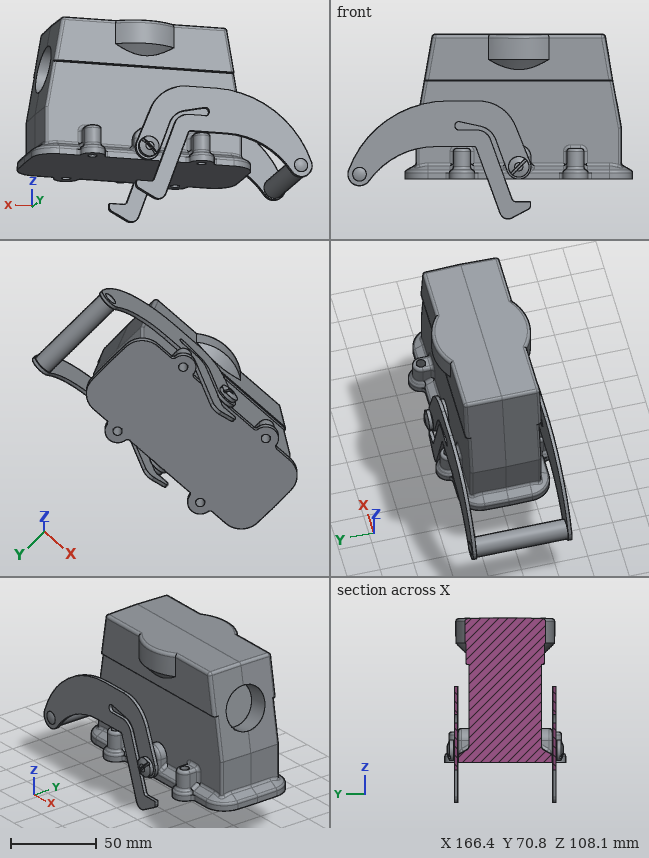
import cadquery as cq
import math


hood_top = 84.7
hood_foot_half = 60.1
hood_top_half = 50.5
lean_start = 29.8
draft = 1.0
lower_half_width = 21.3
upper_half_width = 23.0
ledge_height = 57.3
bulge_radius = 29.0
bulge_bottom = 70.0
edge_round = 2.0
corner_round = 1.5
ledge_chamfer = 0.5
cable_hole_diameter = 28.3
cable_hole_depth = 13.3

flange_half_length = 66.6
flange_half_width = 27.5
flange_corner_radius = 13.3
flange_edge = 4.7
flange_slope = 30.0
flange_rise = 4.0
overall_width = 70.8
lug_x = 33.1
lug_y = 28.0
lug_radius = overall_width / 2 - lug_y
lug_rise = 1.7
neck_height = 3.5
tower_radius = 5.0
tower_height = 18.0
screw_hole_diameter = 5.3

pivot_z = 7.2
eye_radius = 7.2
pad_center_z = 12.8
stud_diameter = 8.0
head_diameter = 12.0
head_tip_diameter = 4.8
head_gap = 0.5
head_rim = 2.3
head_cone = 1.3
driver_slot_width = 1.5
driver_slot_depth = 2.0
driver_slot_angle = 45.0

plate_inner_y = 27.6
plate_thickness = 2.2
rod_x = -93.0
rod_z = 2.8
rod_diameter = 12.0
rod_end_radius = 6.8
rivet_diameter = 8.0
rivet_height = 1.0
plate_top = 45.6
plate_bottom = 19.0
top_curve_x = -41.6
bottom_curve_x = -48.3
front_tilt = 22.0
arm_tilt = 20.0
front_bend_radius = 23.3
arm_edge_round = 1.3
slot_end_x = -37.3
slot_bottom = 28.6
slot_end_top = 34.1
slot_bend_z = 29.5
slot_end_round = 2.3
slot_upper_bend = 12.5
slot_lower_bend = 8.5
hook_throat = (-3.3, -13.2)
hook_throat_round = 2.3
hook_heel = (-9.0, -25.5)
hook_heel_round = 5.0
hook_tip_x = 7.0
hook_tip_bottom = -17.0
hook_tip_top_round = 0.7
hook_tip_bottom_round = 2.7

plate_outer_y = plate_inner_y + plate_thickness
head_base_y = plate_outer_y + head_gap
head_rim_y = head_base_y + head_rim
head_tip_y = head_rim_y + head_cone
root_y = lower_half_width - 2.5
lug_places = [(-lug_x, lug_y), (lug_x, lug_y)]


def box_between(x0, x1, y0, y1, z0, z1):
    return cq.Workplane("XY").box(x1 - x0, y1 - y0, z1 - z0, centered=False).translate((x0, y0, z0))


def y_cylinder(diameter, x, z, y0, y1):
    return cq.Workplane("XZ", origin=(x, y0, z)).circle(diameter / 2).extrude(y0 - y1)


def near(value, target):
    return abs(value - target) < 0.02


def flat_point(vector):
    return (vector.x, vector.y)


def edges_where(shape, test):
    """The edges whose center passes the test."""
    return shape.newObject([edge for edge in shape.edges().vals() if test(edge.Center())])


def both_sides(half):
    """The shape together with its mirror image across the parting plane."""
    return half.union(half.mirror("XZ"))


def sloped_up(slab, rise):
    """The slab with its top face carried on upward at the flange slope."""
    return slab.faces(">Z").wires().toPending().extrude(rise, taper=90 - flange_slope)


def round_rim(shape):
    """Rounds the edge between the upright rim and the slope."""
    return edges_where(shape, lambda c: near(c.z, flange_edge)).fillet(edge_round)


def drafted_wedge():
    """Hood outline along its length, tapering away from the parting plane."""
    below = -3.3
    outline = [
        (-hood_foot_half, below), (hood_foot_half, below), (hood_foot_half, lean_start),
        (hood_top_half, hood_top), (-hood_top_half, hood_top), (-hood_foot_half, lean_start),
    ]
    return cq.Workplane("XZ").polyline(outline).close().extrude(-bulge_radius - 1.7, taper=draft)


def hood_block():
    reach = hood_foot_half + 1.7
    above = hood_top + 1.7
    lower = box_between(-reach, reach, 0, lower_half_width, 0, above)
    upper = box_between(-reach, reach, 0, upper_half_width, ledge_height, above)
    block = drafted_wedge().intersect(lower.union(upper))

    def is_lower_corner(c):
        return near(c.y, lower_half_width) and abs(c.x) > hood_top_half and c.z < ledge_height - 1.7

    def is_upper_edge(c):
        return c.y > 1.7 and c.z > ledge_height + 1.7

    def is_ledge_edge(c):
        return near(c.y, upper_half_width) and near(c.z, ledge_height)

    block = edges_where(block, is_lower_corner).fillet(corner_round)
    block = edges_where(block, is_upper_edge).fillet(edge_round)
    return edges_where(block, is_ledge_edge).chamfer(ledge_chamfer)


def hood_bulge():
    """Round bulge about the Z axis with a 45 degree underside."""
    cone_bottom = bulge_bottom - (bulge_radius - lower_half_width)
    above = hood_top + 1.7
    section = [
        (0, cone_bottom), (lower_half_width, cone_bottom), (bulge_radius, bulge_bottom),
        (bulge_radius, above), (0, above),
    ]
    turned = cq.Workplane("XZ").polyline(section).close().revolve(360, (0, 0, 0), (0, 1, 0))
    bulge = drafted_wedge().intersect(turned)
    return edges_where(bulge, lambda c: c.y > 3.3 and c.z > hood_top - 1.7).fillet(edge_round)


def flange():
    corner_x = flange_half_length - flange_half_width * math.tan(math.radians(draft))
    outline = [
        (flange_half_length, 0), (corner_x, flange_half_width), (-corner_x, flange_half_width),
        (-flange_half_length, 0), (-corner_x, -flange_half_width), (corner_x, -flange_half_width),
    ]
    slab = cq.Workplane("XY").polyline(outline).close().extrude(flange_edge)
    slab = slab.edges("|Z").edges("<Y or >Y").fillet(flange_corner_radius)
    reach = flange_half_length + 1.7
    half_space = box_between(-reach, reach, 0, reach, -1.7, reach)
    return round_rim(sloped_up(slab, flange_rise).intersect(half_space))


def tower(x):
    """Screw tower: a round post joined to the hood wall."""
    web = box_between(x - tower_radius, x + tower_radius, root_y, lug_y, 0, tower_height)
    post = cq.Workplane("XY").center(x, lug_y).circle(tower_radius).extrude(tower_height)

    def is_top_edge(c):
        return c.y > root_y + 0.2 and near(c.z, tower_height)

    return edges_where(web.union(post), is_top_edge).fillet(edge_round)


def pivot_pad():
    """Round-topped pad that carries the pivot stud."""
    upright = box_between(-eye_radius, eye_radius, root_y, flange_half_width, 0, pad_center_z)
    top = y_cylinder(2 * eye_radius, 0, pad_center_z, root_y, flange_half_width)

    def is_front_arc(c):
        return near(c.y, flange_half_width) and c.z > pad_center_z + 1.7

    return edges_where(upright.union(top), is_front_arc).fillet(edge_round)


def hood_with_flange():
    """Hood on its flange, with a hollow round along the straight foot of the long wall."""
    hood = hood_block().union(flange())

    def is_foot(c):
        return near(c.y, lower_half_width) and flange_edge < c.z < tower_height and near(c.x, 0)

    return edges_where(hood, is_foot).fillet(edge_round)


def hood_with_towers():
    """Hood with its screw towers, with hollow rounds where they leave the wall."""
    hood = hood_block()
    for x, _ in lug_places:
        hood = hood.union(tower(x))
    outer_x = lug_x + tower_radius + 1.7

    def is_tower_root(c):
        return near(c.y, lower_half_width) and 1.7 < c.z < tower_height + 1.7 and abs(c.x) < outer_x

    return edges_where(hood, is_tower_root).fillet(edge_round)


def flange_with_pad():
    """Flange with the pivot pad, with hollow rounds beside the pad."""
    joined = flange().union(pivot_pad())

    def is_pad_side(c):
        on_slope = neck_height < c.z < flange_edge + flange_rise + 0.2
        return on_slope and near(abs(c.x), eye_radius) and c.y < flange_half_width - 0.2

    return edges_where(joined, is_pad_side).fillet(edge_round)


def flange_with_towers():
    """Flange with the screw towers, with hollow rounds beside the towers."""
    joined = flange()
    for x, _ in lug_places:
        joined = joined.union(tower(x))

    def is_tower_side(c):
        on_slope = flange_edge < c.z < flange_edge + flange_rise + 0.2
        return on_slope and near(abs(abs(c.x) - lug_x), tower_radius) and c.y < lug_y - 0.2

    return edges_where(joined, is_tower_side).fillet(edge_round)


def lug(x, y):
    """Round foot of a screw tower, with rounded rim and a hollow round up to the tower."""
    rim = cq.Workplane("XY").center(x, y).circle(lug_radius).extrude(flange_edge)
    post = cq.Workplane("XY").center(x, y).circle(tower_radius).extrude(tower_height / 2)
    foot = round_rim(sloped_up(rim, lug_rise)).union(post)
    meet_z = flange_edge + (lug_radius - tower_radius) * math.tan(math.radians(flange_slope))
    return edges_where(foot, lambda c: near(c.z, meet_z)).fillet(edge_round)


def lug_necks():
    """Low strip that rounds the inner corners between lugs and flange."""
    half_strip = lug_x + 2 * lug_radius
    strip = box_between(-half_strip, half_strip, root_y, flange_half_width, 0, neck_height)
    strip = strip.union(cq.Workplane("XY").pushPoints(lug_places).circle(lug_radius).extrude(neck_height))
    return edges_where(strip.edges("|Z"), lambda c: abs(c.x) < half_strip - 1.7).fillet(edge_round)


def pivot_stud():
    stud = y_cylinder(stud_diameter, 0, pivot_z, root_y, head_base_y)
    section = [
        (0, head_base_y), (head_diameter / 2, head_base_y), (head_diameter / 2, head_rim_y),
        (head_tip_diameter / 2, head_tip_y), (0, head_tip_y),
    ]
    head = cq.Workplane("XY").polyline(section).close().revolve(360, (0, 0, 0), (0, 1, 0))
    slot = cq.Workplane("XY").box(2 * head_diameter, 2 * driver_slot_depth, driver_slot_width)
    slot = slot.rotate((0, 0, 0), (0, 1, 0), -driver_slot_angle).translate((0, head_tip_y, 0))
    return stud.union(head.cut(slot).translate((0, 0, pivot_z)))


def cable_hole():
    """Blind hole square to the leaning end wall on the +X side."""
    lean = math.atan2(hood_foot_half - hood_top_half, hood_top - lean_start)
    center = ((hood_foot_half + hood_top_half) / 2, 0, (lean_start + hood_top) / 2)
    plane = cq.Plane(center, xDir=(0, 1, 0), normal=(math.cos(lean), 0, math.sin(lean)))
    hole = cq.Workplane(plane).workplane(offset=-cable_hole_depth).circle(cable_hole_diameter / 2)
    return hole.extrude(2 * cable_hole_depth)


def make_housing():
    half = hood_with_flange().union(hood_with_towers()).union(hood_bulge()).union(lug_necks())
    half = half.union(flange_with_pad()).union(flange_with_towers())
    for x, y in lug_places:
        half = half.union(lug(x, y))
    holes = cq.Workplane("XY").pushPoints(lug_places).circle(screw_hole_diameter / 2)
    half = half.cut(holes.extrude(tower_height + edge_round)).union(pivot_stud())
    return both_sides(half).cut(cable_hole())


def rounded_outline(corners):
    """Closed outline in the XZ plane through (x, z, radius) corners, each rounded by its radius."""
    arcs = []
    for i, (x, z, radius) in enumerate(corners):
        before = corners[i - 1]
        after = corners[(i + 1) % len(corners)]
        corner = cq.Vector(x, z)
        to_before = (cq.Vector(*before[:2]) - corner).normalized()
        to_after = (cq.Vector(*after[:2]) - corner).normalized()
        half_angle = to_before.getAngle(to_after) / 2
        setback = radius / math.tan(half_angle)
        apex_gap = radius / math.sin(half_angle) - radius
        middle = corner + (to_before + to_after).normalized() * apex_gap
        arcs.append((corner + to_before * setback, middle, corner + to_after * setback, radius))

    outline = cq.Workplane("XZ").moveTo(*flat_point(arcs[0][2]))
    for start, middle, end, radius in arcs[1:] + arcs[:1]:
        outline = outline.lineTo(*flat_point(start))
        if radius > 0:
            outline = outline.threePointArc(flat_point(middle), flat_point(end))
    return outline.close()


def on_tilted_edge(point, tilt, z):
    """Corner position at height z on an edge through the point, tilted from the vertical."""
    return (point[0] - (z - point[1]) * math.tan(math.radians(tilt)), z)


def hook_plate():
    """Pivot arm and hook arm with the narrow slot between them."""
    front = math.radians(front_tilt)
    arm = math.radians(arm_tilt)
    eye_front = (eye_radius * math.cos(front), pivot_z + eye_radius * math.sin(front))
    eye_back = (-eye_radius * math.cos(arm), pivot_z - eye_radius * math.sin(arm))
    corners = [
        (bottom_curve_x, plate_bottom, 0),
        (top_curve_x, plate_top, 0),
        (*on_tilted_edge(eye_front, front_tilt, plate_top), front_bend_radius),
        (*eye_front, 0),
        (*eye_back, 0),
        (*on_tilted_edge(eye_back, arm_tilt, slot_bend_z), slot_upper_bend),
        (slot_end_x, slot_end_top, slot_end_round),
        (slot_end_x, slot_bottom, slot_end_round),
        (*on_tilted_edge(hook_throat, arm_tilt, slot_bottom), slot_lower_bend),
        (*hook_throat, hook_throat_round),
        (hook_tip_x, hook_throat[1], hook_tip_top_round),
        (hook_tip_x, hook_tip_bottom, hook_tip_bottom_round),
        (*hook_heel, hook_heel_round),
        (*on_tilted_edge(hook_heel, arm_tilt, plate_bottom), arm_edge_round),
    ]
    return rounded_outline(corners).extrude(-plate_thickness)


def grip_plate():
    """Curved grip: two arcs that run tangent into the rounded end about the rod."""
    top_run = top_curve_x - rod_x
    top_drop = plate_top - rod_z
    top_square = top_run**2 + top_drop**2 - rod_end_radius**2
    top_radius = top_square / (2 * (top_drop - rod_end_radius))
    bottom_run = bottom_curve_x - rod_x
    bottom_drop = plate_bottom - rod_z
    bottom_square = bottom_run**2 + bottom_drop**2 - rod_end_radius**2
    bottom_radius = bottom_square / (2 * (bottom_drop + rod_end_radius))

    rod = cq.Vector(rod_x, rod_z)
    top_center = cq.Vector(top_curve_x, plate_top - top_radius)
    bottom_center = cq.Vector(bottom_curve_x, plate_bottom - bottom_radius)
    out_from_top = (rod - top_center).normalized()
    out_from_bottom = (rod - bottom_center).normalized()
    up = cq.Vector(0, 1)

    top_middle = top_center + (out_from_top + up).normalized() * top_radius
    top_end = top_center + out_from_top * top_radius
    rod_end = rod + (out_from_top - out_from_bottom).normalized() * rod_end_radius
    bottom_end = bottom_center + out_from_bottom * bottom_radius
    bottom_middle = bottom_center + (out_from_bottom + up).normalized() * bottom_radius
    return (
        cq.Workplane("XZ")
        .moveTo(top_curve_x, plate_top)
        .threePointArc(flat_point(top_middle), flat_point(top_end))
        .threePointArc(flat_point(rod_end), flat_point(bottom_end))
        .threePointArc(flat_point(bottom_middle), (bottom_curve_x, plate_bottom))
        .close()
        .extrude(-plate_thickness)
    )


def rivet():
    """Domed rod end on the outside of a plate."""
    dome_radius = ((rivet_diameter / 2) ** 2 + rivet_height**2) / (2 * rivet_height)
    ball = cq.Workplane("XY").sphere(dome_radius)
    ball = ball.translate((rod_x, plate_outer_y + rivet_height - dome_radius, rod_z))
    return ball.intersect(y_cylinder(rivet_diameter, rod_x, rod_z, plate_inner_y, plate_outer_y + 1.7))


def make_lever():
    eye = y_cylinder(2 * eye_radius, 0, pivot_z, 0, plate_thickness)
    plate = grip_plate().union(hook_plate()).union(eye).translate((0, plate_inner_y, 0))
    plate = plate.cut(y_cylinder(stud_diameter, 0, pivot_z, 0, head_tip_y))
    rod = y_cylinder(rod_diameter, rod_x, rod_z, 0, plate_inner_y)
    return both_sides(plate.union(rod).union(rivet()))


housing = make_housing()
lever = make_lever()
result = cq.Compound.makeCompound([housing.solids().val(), lever.solids().val()])